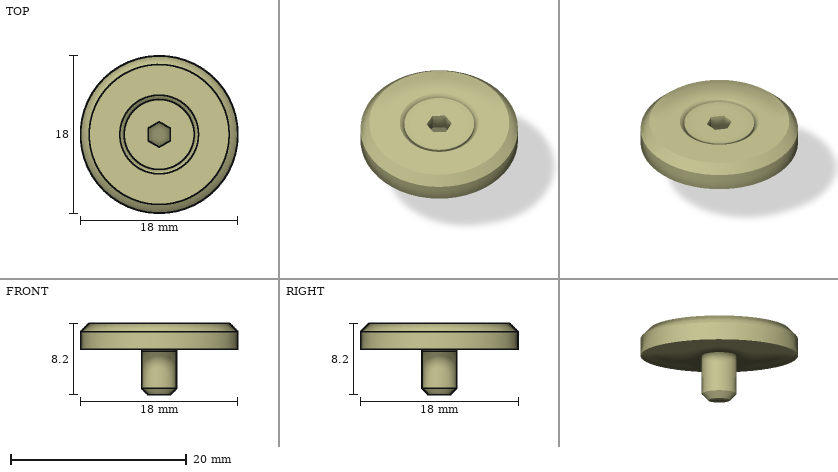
import cadquery as cq
import math


disc_diameter = 18.0
disc_thickness = 3.0
disc_chamfer = 1.0
countersink_diameter = 9.0

screw_diameter = 4.0
screw_length = 8.0
head_diameter = 2 * screw_diameter
head_recess = 0.2
grip_length = 3.0
tip_chamfer = 0.75
socket_across_flats = 2.5
socket_depth = 2.0

screw_radius = screw_diameter / 2
head_radius = head_diameter / 2
countersink_radius = countersink_diameter / 2
head_top = -head_recess
rim_bottom = -(countersink_radius - head_radius)
cone_bottom = -(countersink_radius - screw_radius)
thread_top = head_top - grip_length
thread_length = screw_length - grip_length


def make_disc():
    """Chamfered disc with a countersunk hole that fits the screw shank."""
    disc = (
        cq.Workplane("XY")
        .circle(disc_diameter / 2)
        .extrude(-disc_thickness)
        .faces(">Z")
        .chamfer(disc_chamfer)
    )
    return disc.cut(make_hole())


def make_hole():
    """Countersink cone followed by the through hole."""
    return (
        cq.Workplane("XZ")
        .moveTo(0, 0)
        .lineTo(countersink_radius, 0)
        .lineTo(screw_radius, cone_bottom)
        .lineTo(screw_radius, -disc_thickness)
        .lineTo(0, -disc_thickness)
        .close()
        .revolve(360, (0, 0, 0), (0, 1, 0))
    )


def make_screw_head():
    """Head with a straight rim, a cone, a plain neck and a hexagon socket."""
    head = (
        cq.Workplane("XZ")
        .moveTo(0, head_top)
        .lineTo(head_radius, head_top)
        .lineTo(head_radius, rim_bottom)
        .lineTo(screw_radius, cone_bottom)
        .lineTo(screw_radius, thread_top)
        .lineTo(0, thread_top)
        .close()
        .revolve(360, (0, 0, 0), (0, 1, 0))
    )
    across_corners = socket_across_flats / math.cos(math.radians(30))
    socket = (
        cq.Workplane("XY")
        .workplane(offset=head_top)
        .transformed(rotate=(0, 0, 90))
        .polygon(6, across_corners)
        .extrude(-socket_depth)
    )
    return head.cut(socket)


def make_threaded_shank():
    """Thread envelope below the neck, chamfered at its tip."""
    return (
        cq.Workplane("XY")
        .workplane(offset=thread_top)
        .circle(screw_radius)
        .extrude(-thread_length)
        .faces("<Z")
        .chamfer(tip_chamfer)
    )


disc = make_disc()
screw_head = make_screw_head()
threaded_shank = make_threaded_shank()

result = cq.Compound.makeCompound([disc.val(), screw_head.val(), threaded_shank.val()])